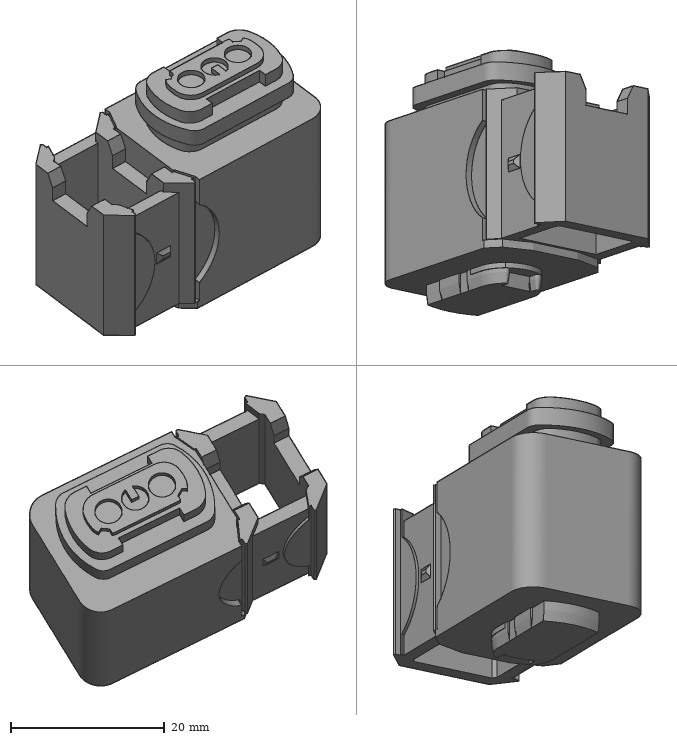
import cadquery as cq
import math


half_width = 9.5
housing_height = 21.53
back_y = 11.8
back_corner_radius = 3.2
side_end_y = -10.65
shoulder_x = 8.6
nose_x = 5.8
nose_start_y = -11.85
nose_y = -12.02

flange_thickness = 1.1
flange_side_end_y = -11.0
flange_corner_x = 7.9
flange_corner_y = -12.83
flange_nose_x = 3.7
flange_nose_y = -14.05

core_half_width = 4.9
core_end_radius = 9.25
ring_half_width = 6.35
ring_end_radius = 10.38
ring_corner_radius = 1.97
core_corner_radius = 2.52
ring_bottom_z = 23.9
ring_top_z = 26.35
core_top_z = 28.3
core_notch_x = 3.73
core_notch_half_length = 4.55

plate_half_width = 3.1
plate_end_radius = 7.13
plate_corner_radius = 2.52
plate_top_z = 29.02
contact_pitch = 4.0
contact_diameter = 3.55
contact_key_width = 1.1
bite_points = [(-3.47, 5.08), (-2.35, 5.08), (-1.7, 6.0), (-2.0, 6.55), (-3.47, 7.5)]

plug_half_width = 4.42
plug_depth = 2.75
plug_straight_depth = 1.3
plug_centre_y = -4.02
plug_back_y = 4.75
plug_taper = 10.0
lobe_inner_x = 2.15
lobe_radius = 0.48
lobe_edge_limit_x = lobe_inner_x + lobe_radius
lobe_gap_floor_y = -5.85
groove_front_y = -1.05
groove_back_y = 0.62
tail_half_width = 4.15
tail_back_y = 8.5
tail_back_radius = 11.7
collar_thickness = 0.73
collar_half_width = 4.45
collar_back_y = -1.8
collar_joint_x = 3.0
collar_front_y = -8.15

clip_bottom_z = flange_thickness
clip_top_z = 21.4
clip_wall_top_z = 19.8
wall_outer_x = 8.2
wall_inner_x = 6.35
rear_tip_y = -11.48
wing_pitch = 10.25
front_tip_y = rear_tip_y - wing_pitch
tip_flat_x = 9.35
tip_flat_rise = 0.3
wing_root_rise = 0.62
wing_inner_x = 5.9
rear_wing_inner_rise = -0.55
front_throat_rise = -0.22
wing_back_drop = 0.8
wing_face_x = 6.85
wing_face_drop = 3.05
front_y = front_tip_y - wing_face_drop

notch_top_half_width = 4.42
notch_half_width = 3.45
notch_taper_z = 19.5
notch_bottom_z = 17.35

pad_radius = 8.08
pad_z = 10.75
pad_face_x = shoulder_x
front_pad_y = -25.55
rear_pad_y = front_pad_y + wing_pitch

bump_y = (-16.85, -14.47)
bump_z = (9.75, 11.62)
bump_tip_y = (-16.1, -14.88)
bump_tip_z = (10.5, 11.0)
bump_height = 0.45


def box_between(x, y, z):
    """Box spanning the given (low, high) pairs."""
    size = [high - low for low, high in (x, y, z)]
    return cq.Workplane().box(*size, centered=False).translate((x[0], y[0], z[0]))


def mirrored_outline(right_half):
    """Closed outline from its right half, listed from one end of the mirror line to the other."""
    left_half = [(-x, y) for x, y in reversed(right_half)]
    return right_half + left_half


def prism(points, bottom_z, top_z):
    """Upright prism over an outline in X and Y."""
    return cq.Workplane().workplane(offset=bottom_z).polyline(points).close().extrude(top_z - bottom_z)


def round_ended_block(half_block_width, end_radius, corner_radius, bottom_z, top_z):
    """Straight-sided block with arc ends about the origin and blended corners."""
    height = top_z - bottom_z
    disc = cq.Workplane().workplane(offset=bottom_z).circle(end_radius).extrude(height)
    sides = box_between(
        (-half_block_width, half_block_width), (-end_radius, end_radius), (bottom_z, top_z)
    )
    return disc.intersect(sides).edges("|Z").fillet(corner_radius)


def side_disc(side, centre_y, inner_x, outer_x):
    """Disc lying along X on the side given by side = -1 or 1."""
    disc = cq.Workplane("YZ").workplane(offset=inner_x).center(centre_y, pad_z)
    disc = disc.circle(pad_radius).extrude(outer_x - inner_x)
    if side < 0:
        disc = disc.mirror("YZ")
    return disc


def make_block():
    """Main block with its flange, rounded back corners and a recess for each rear pad."""
    outline = mirrored_outline([
        (half_width, back_y),
        (half_width, side_end_y),
        (shoulder_x, side_end_y),
        (nose_x, nose_start_y),
        (nose_x, nose_y),
    ])
    flange_outline = mirrored_outline([
        (half_width, back_y),
        (half_width, flange_side_end_y),
        (flange_corner_x, flange_corner_y),
        (flange_nose_x, flange_nose_y),
    ])
    block = prism(outline, flange_thickness, housing_height)
    for side in (-1, 1):
        block = block.cut(side_disc(side, rear_pad_y, wall_outer_x, half_width))
    block = block.union(prism(flange_outline, 0, flange_thickness))
    return block.edges("|Z and >Y").fillet(back_corner_radius)


def make_stack():
    """Core with a ring around it and a shallow notch along each side above the ring."""
    core = round_ended_block(
        core_half_width, core_end_radius, core_corner_radius, housing_height, core_top_z
    )
    for side in (-1, 1):
        side_notch = box_between(
            sorted((side * core_notch_x, side * core_half_width)),
            (-core_notch_half_length, core_notch_half_length),
            (ring_top_z, core_top_z),
        )
        core = core.cut(side_notch)
    ring = round_ended_block(
        ring_half_width, ring_end_radius, ring_corner_radius, ring_bottom_z, ring_top_z
    )
    return core.union(ring)


def make_contact_plate():
    """Raised plate with three contact openings and two bites out of its -X corners."""
    plate = round_ended_block(
        plate_half_width, plate_end_radius, plate_corner_radius, core_top_z, plate_top_z
    )
    bite = prism(bite_points, core_top_z, plate_top_z)
    plate = plate.cut(bite).cut(bite.mirror("XZ"))
    contact_places = [(0, step * contact_pitch) for step in (-1, 0, 1)]
    contacts = cq.Workplane().workplane(offset=core_top_z).pushPoints(contact_places)
    contacts = contacts.circle(contact_diameter / 2).extrude(plate_top_z - core_top_z)
    key = box_between(
        (0, contact_diameter / 2),
        (-contact_key_width / 2, contact_key_width / 2),
        (core_top_z, plate_top_z),
    )
    return plate.cut(contacts.cut(key))


def make_tail_back(tip_height):
    """Large disc whose edge, sloping inward below, bows the back of the tail."""
    centre_y = tail_back_y - tail_back_radius
    disc = cq.Workplane().center(0, centre_y).circle(tail_back_radius).extrude(-plug_straight_depth)
    cone_base = cq.Workplane().workplane(offset=-plug_straight_depth).center(0, centre_y)
    cone = cone_base.circle(tail_back_radius).extrude(-tip_height, taper=plug_taper)
    return disc.union(cone)


def make_plug():
    """Round-fronted plug with two front lobes, a groove on each side and a narrower tail."""
    round_end = cq.Workplane().center(0, plug_centre_y).circle(plug_half_width)
    upper = round_end.extrude(-plug_straight_depth)
    upper = upper.union(box_between(
        (-plug_half_width, plug_half_width), (plug_centre_y, plug_back_y), (-plug_straight_depth, 0)
    ))
    lobe_gap = box_between(
        (-lobe_inner_x, lobe_inner_x),
        (plug_centre_y - plug_half_width, lobe_gap_floor_y),
        (-plug_straight_depth, 0),
    )
    upper = upper.cut(lobe_gap)
    lobe_gap_edges = cq.selectors.BoxSelector(
        (-lobe_edge_limit_x, plug_centre_y - plug_half_width, -plug_straight_depth),
        (lobe_edge_limit_x, lobe_gap_floor_y - lobe_radius, 0),
    )
    upper = upper.edges("|Z").edges(lobe_gap_edges).fillet(lobe_radius)

    tip_height = plug_depth - plug_straight_depth
    rim = upper.faces("<Z").wires().val()
    tip = cq.Workplane(cq.Solid.extrudeLinear(rim, [], cq.Vector(0, 0, -tip_height), plug_taper))
    plug = upper.union(tip)
    for side in (-1, 1):
        groove = box_between(
            sorted((side * tail_half_width, side * plug_half_width)),
            (groove_front_y, groove_back_y),
            (-plug_depth, 0),
        )
        plug = plug.cut(groove)

    tail = box_between(
        (-tail_half_width, tail_half_width), (groove_front_y, tail_back_y), (-plug_depth, 0)
    )
    tail = tail.intersect(make_tail_back(tip_height))
    gap_floor = box_between(
        (-lobe_inner_x, lobe_inner_x), (lobe_gap_floor_y, groove_front_y), (-plug_depth, 0)
    )
    return plug.union(tail).union(gap_floor)


def make_plug_collar():
    """Thin collar around the front of the plug, with a shallower arc across its front."""
    joint_y = plug_centre_y - math.sqrt(collar_half_width**2 - collar_joint_x**2)
    nose = cq.Workplane().moveTo(-collar_joint_x, joint_y)
    nose = nose.threePointArc((0, collar_front_y), (collar_joint_x, joint_y))
    nose = nose.lineTo(collar_joint_x, plug_centre_y).lineTo(-collar_joint_x, plug_centre_y)
    nose = nose.close().extrude(-collar_thickness)

    disc = cq.Workplane().center(0, plug_centre_y).circle(collar_half_width).extrude(-collar_thickness)
    nose_room = box_between(
        (-collar_joint_x, collar_joint_x),
        (plug_centre_y - collar_half_width, plug_centre_y),
        (-collar_thickness, 0),
    )
    back_room = box_between(
        (-collar_half_width, collar_half_width),
        (plug_centre_y, plug_centre_y + collar_half_width),
        (-collar_thickness, 0),
    )
    straight = box_between(
        (-collar_half_width, collar_half_width), (plug_centre_y, collar_back_y), (-collar_thickness, 0)
    )
    return disc.cut(nose_room).cut(back_room).union(straight).union(nose)


def make_housing():
    housing = make_block()
    for part in (make_stack(), make_contact_plate(), make_plug(), make_plug_collar()):
        housing = housing.union(part)
    return housing


def make_winged_plate(tip_y, throat_x, throat_rise):
    """Cross plate of the clip, with a wing at each end whose tip lies at tip_y."""
    outline = mirrored_outline([
        (wing_inner_x, tip_y - wing_back_drop),
        (throat_x, tip_y + throat_rise),
        (shoulder_x, tip_y + wing_root_rise),
        (shoulder_x, tip_y + tip_flat_rise),
        (tip_flat_x, tip_y + tip_flat_rise),
        (half_width, tip_y),
        (wing_face_x, tip_y - wing_face_drop),
    ])
    return prism(outline, clip_bottom_z, clip_top_z)


def make_latch_bump(side):
    """Four-sided bump with sloping flanks, standing out from a clip wall."""
    def rectangle(x, y, z):
        corners = [(y[0], z[0]), (y[1], z[0]), (y[1], z[1]), (y[0], z[1])]
        return cq.Wire.makePolygon([cq.Vector(x, *corner) for corner in corners], close=True)

    base = rectangle(side * wall_outer_x, bump_y, bump_z)
    tip = rectangle(side * (wall_outer_x + bump_height), bump_tip_y, bump_tip_z)
    return cq.Workplane(cq.Solid.makeLoft([base, tip], True))


def make_clip_side(side):
    """Wall joining the two plates, with its front pad, rear pad and latch bump."""
    wall_y = (front_tip_y - wing_back_drop, rear_tip_y - wing_back_drop)
    wall = box_between(
        sorted((side * wall_inner_x, side * wall_outer_x)), wall_y, (clip_bottom_z, clip_wall_top_z)
    )
    for pad_y, tip_y in ((front_pad_y, front_tip_y), (rear_pad_y, rear_tip_y)):
        pad = side_disc(side, pad_y, wall_outer_x, pad_face_x)
        pad_limit = box_between(
            (-half_width, half_width), (tip_y, tip_y + pad_radius), (clip_bottom_z, clip_wall_top_z)
        )
        wall = wall.union(pad.intersect(pad_limit))
    return wall.union(make_latch_bump(side))


def make_plate_notch():
    """Cutter for the flared notch that runs through both plates."""
    outline = mirrored_outline([
        (notch_top_half_width, clip_top_z),
        (notch_half_width, notch_taper_z),
        (notch_half_width, notch_bottom_z),
    ])
    return cq.Workplane("XZ").polyline(outline).close().extrude(-front_y)


def make_clip():
    clip = make_winged_plate(rear_tip_y, wing_inner_x, rear_wing_inner_rise)
    clip = clip.union(make_winged_plate(front_tip_y, wall_inner_x, front_throat_rise))
    for side in (-1, 1):
        clip = clip.union(make_clip_side(side))
    return clip.cut(make_plate_notch())


housing = make_housing()
clip = make_clip()
result = cq.Compound.makeCompound([housing.val(), clip.val()])